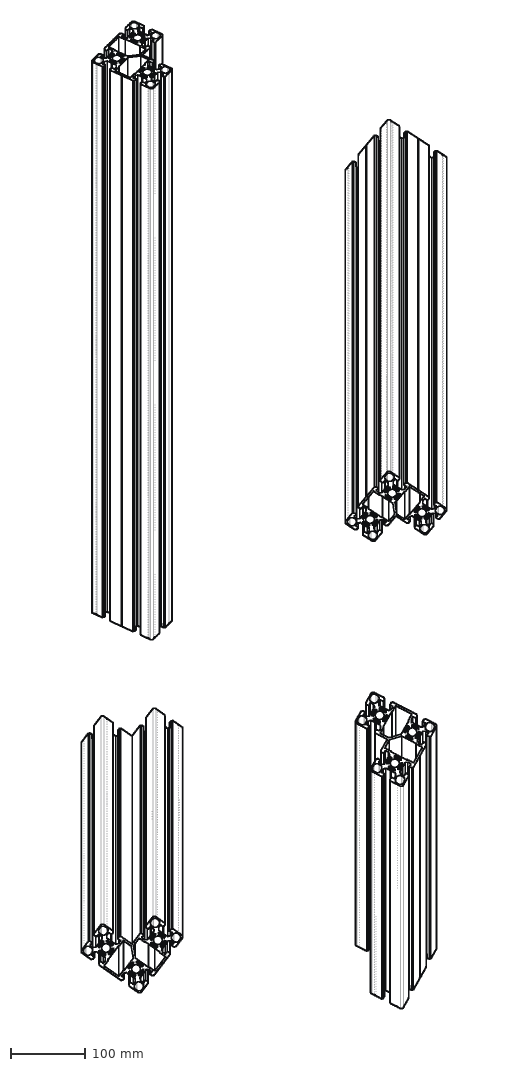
import cadquery as cq
import math

LENGTH = 1000.0
SIZE = 100.0
MODULE = SIZE / 2
HALF = MODULE / 2
CORNER_RADIUS = 3.0
WALL = 3.0

SLOT_OPENING = 10.0
SLOT_WIDTH = 19.5
FLOOR_WIDTH = 15.0
MOUTH_RADIUS = 1.5
LIP_DEPTH = 5.4
SHOULDER_DEPTH = 10.0
SLOT_DEPTH = 13.1

GROOVE_WIDTH = 1.6
GROOVE_DEPTH = 0.5

BORE_DIAMETER = 12.0
POCKET_INNER = 7.4
POCKET_OUTER = 9.5
POCKET_LENGTH = 10.0

CELL_SIZE = 12.0
CELL_RADIUS = 5.0
CELL_WALL = 1.5

CORE_HALF = 11.8
LEDGE_HALF = 12.6
LEDGE_LENGTH = 13.0
DIAGONAL_WEB = 3.0

MODULES = [
    ((HALF, HALF), (180, 270), [(-1, -1)]),
    ((HALF, SIZE - HALF), (0, 90, 180), [(-1, 1), (1, 1)]),
    ((SIZE - HALF, HALF), (0, 90, 270), [(1, -1), (1, 1)]),
]


def prism(points):
    """Full-length bar with the given polygon as its section."""
    return cq.Workplane("XY").polyline(points).close().extrude(LENGTH)


def place(bar, centre, angle):
    """Turn a bar about Z, then move its axis to the centre."""
    return bar.rotate((0, 0, 0), (0, 0, 1), angle).translate((*centre, 0))


def body():
    """Solid L-shaped bar with its five outer corners rounded."""
    bar = prism([(0, 0), (SIZE, 0), (SIZE, MODULE), (MODULE, MODULE), (MODULE, SIZE), (0, SIZE)])
    inner_corner = cq.selectors.NearestToPointSelector((MODULE, MODULE, LENGTH / 2))
    outer_corners = cq.selectors.StringSyntaxSelector("|Z") - inner_corner
    return bar.edges(outer_corners).fillet(CORNER_RADIUS)


def groove(surface):
    """V groove cut inward from a surface that faces +X at this distance."""
    half_width = GROOVE_WIDTH / 2
    return prism([(surface, -half_width), (surface, half_width), (surface - GROOVE_DEPTH, 0)])


def slot():
    """T-slot cutter for the +X face of a module centred on the Z axis."""
    mouth = SLOT_OPENING / 2
    wide = SLOT_WIDTH / 2
    lip = HALF - LIP_DEPTH
    shoulder = HALF - SHOULDER_DEPTH
    floor = HALF - SLOT_DEPTH
    floor_half = FLOOR_WIDTH / 2
    cutter = (
        cq.Workplane("XY")
        .moveTo(HALF, mouth + MOUTH_RADIUS)
        .radiusArc((HALF - MOUTH_RADIUS, mouth), -MOUTH_RADIUS)
        .lineTo(lip, mouth)
        .lineTo(lip, wide)
        .lineTo(shoulder, wide)
        .lineTo(floor, floor_half)
        .lineTo(floor, -floor_half)
        .lineTo(shoulder, -wide)
        .lineTo(lip, -wide)
        .lineTo(lip, -mouth)
        .lineTo(HALF - MOUTH_RADIUS, -mouth)
        .radiusArc((HALF, -mouth - MOUTH_RADIUS), -MOUTH_RADIUS)
        .close()
        .extrude(LENGTH)
    )
    return cutter.union(groove(floor))


def core_hollows():
    """Bore and the four pockets around it, centred on the Z axis."""
    bore = cq.Workplane("XY").circle(BORE_DIAMETER / 2).extrude(LENGTH)
    pockets = (
        cq.Workplane("XY")
        .polarArray((POCKET_INNER + POCKET_OUTER) / 2, 0, 360, 4)
        .rect(POCKET_OUTER - POCKET_INNER, POCKET_LENGTH)
        .extrude(LENGTH)
    )
    return bore.union(pockets)


def corner_cell():
    """Rounded square hollow centred on the Z axis."""
    square = cq.Workplane("XY").rect(CELL_SIZE, CELL_SIZE).extrude(LENGTH)
    return square.edges("|Z").fillet(CELL_RADIUS)


def cavity():
    """Cavity between the corner and upper modules, closed by a diagonal web to the inner corner."""
    near_core = HALF + CORE_HALF
    near_ledge = HALF + LEDGE_HALF
    far_core = SIZE - near_core
    far_ledge = SIZE - near_ledge
    inner_wall = MODULE - WALL
    web_offset = DIAGONAL_WEB / math.sqrt(2)
    return prism([
        (WALL, near_ledge),
        (LEDGE_LENGTH, near_ledge),
        (LEDGE_LENGTH, near_core),
        (near_core - web_offset, near_core),
        (inner_wall, inner_wall + web_offset),
        (inner_wall, far_ledge),
        (MODULE - LEDGE_LENGTH, far_ledge),
        (MODULE - LEDGE_LENGTH, far_core),
        (LEDGE_LENGTH, far_core),
        (LEDGE_LENGTH, far_ledge),
        (WALL, far_ledge),
    ])


result = body()

cell_offset = HALF - CELL_WALL - CELL_SIZE / 2
for centre, slot_angles, cell_corners in MODULES:
    result = result.cut(place(core_hollows(), centre, 0))
    for angle in slot_angles:
        result = result.cut(place(slot(), centre, angle))
    for side_x, side_y in cell_corners:
        cell_centre = (centre[0] + side_x * cell_offset, centre[1] + side_y * cell_offset)
        result = result.cut(place(corner_cell(), cell_centre, 0))

upper_cavity = cavity()
side_cavity = upper_cavity.mirror("YZ").rotate((0, 0, 0), (0, 0, 1), -90)
result = result.cut(upper_cavity).cut(side_cavity)

for angle, centre in ((180, (0, MODULE)), (270, (MODULE, 0))):
    result = result.cut(place(groove(0), centre, angle))